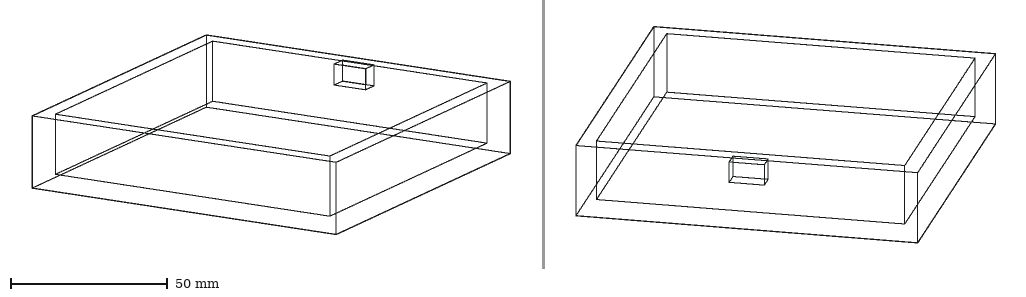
import cadquery as cq

side = 112.0
height = 24.0
wall = 5.5
floor = 4.0

window_width = 11.5
window_height = 7.0
window_top_gap = 1.5
window_center_x = 0.0

cavity_side = side - 2 * wall
window_bottom = height - window_top_gap - window_height

tray = cq.Workplane("XY").box(side, side, height, centered=(True, True, False))

cavity = (
    cq.Workplane("XY")
    .workplane(offset=floor)
    .rect(cavity_side, cavity_side)
    .extrude(height - floor)
)

window = (
    cq.Workplane("XY")
    .box(window_width, 2 * wall, window_height, centered=(True, True, False))
    .translate((window_center_x, side / 2, window_bottom))
)

result = tray.cut(cavity).cut(window)